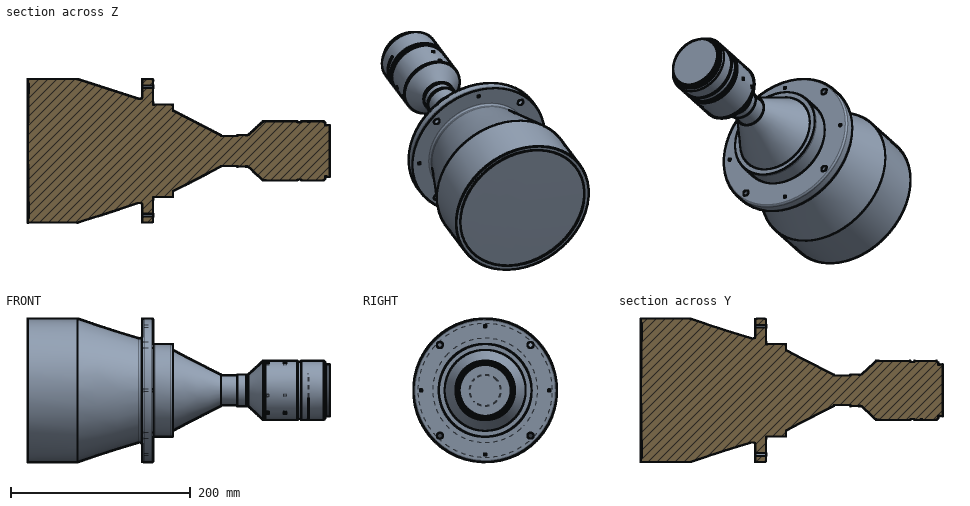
import cadquery as cq
import math

overall_length = 336.5

hood_radius = 80.0
hood_length = 56.0
hood_edge_chamfer = 0.5
window_radius = 74.7
window_recess = 1.5
window_sag = 1.0

collar_start = 123.5
collar_radius = 58.2
collar_fillet = 2.0

flange_start = 127.5
flange_end = 140.0
flange_radius = 80.0
flange_front_bevel_length = 2.5
flange_front_bevel_drop = 0.5
flange_rear_fillet = 2.0
bolt_circle_radius = 71.3
bolt_hole_diameter = 6.7
pin_hole_diameter = 2.7
hole_count = 4

hub_end = 161.8
hub_radius = 51.8
hub_front_bevel_length = 1.7
hub_rear_bevel_length = 2.7
hub_bevel_drop = 0.5

rear_cone_radius = 45.0
neck_start = 215.3
cone_tip_radius = 17.5
neck_radius = 16.8
ring_start = 233.0
ring_radius = 17.8
ring_chamfer = 0.7
neck_groove_start = 243.2
neck_groove_width = 1.0
neck_groove_depth = 0.5
flare_start = 245.5

barrel_start = 262.0
barrel_diameter = 66.3
barrel_radius = barrel_diameter / 2
edge_groove_start = 263.0
edge_groove_width = 1.5
edge_groove_depth = 0.5
split_groove_start = 299.7
split_groove_width = 5.0
split_groove_depth = 1.18
split_groove_chamfer = 0.85
barrel_end = 331.5
barrel_chamfer = 2.2

spigot_diameter = 58.2
spigot_radius = spigot_diameter / 2
undercut_width = 1.0
undercut_depth = 0.7
spigot_chamfer = 0.7

screw_rows = (267.0, 286.3)
screw_hole_diameter = 3.0
screw_hole_depth = 2.7
screw_first_angle = 20.0
screw_count = 3

slit_start = 312.0
slit_width = 1.0
slit_depth = 0.7
slit_first_angle = 106.0
slit_sweep = 198.0


def revolve_about_x(profile):
    return profile.close().revolve(360, (0, 0, 0), (1, 0, 0))


def lens_body():
    """Front glass, hood, flange, cones and barrel as one revolved outline."""
    sphere_radius = (window_radius**2 + window_sag**2) / (2 * window_sag)
    half_window = window_radius / 2
    half_window_sag = sphere_radius - math.sqrt(sphere_radius**2 - half_window**2)
    window_apex = window_recess - window_sag
    fillet_diagonal = 1 - math.sqrt(0.5)
    front_fillet_mid = collar_fillet * fillet_diagonal
    rear_fillet_mid = flange_rear_fillet * fillet_diagonal
    spigot_start = barrel_end + undercut_width

    outline = (
        cq.Workplane("XY")
        .moveTo(window_apex, 0)
        .threePointArc((window_apex + half_window_sag, half_window), (window_recess, window_radius))
        .lineTo(0, window_radius)
        .lineTo(0, hood_radius - hood_edge_chamfer)
        .lineTo(hood_edge_chamfer, hood_radius)
        .lineTo(hood_length, hood_radius)
        .lineTo(collar_start, collar_radius)
        .lineTo(flange_start - collar_fillet, collar_radius)
        .threePointArc(
            (flange_start - front_fillet_mid, collar_radius + front_fillet_mid),
            (flange_start, collar_radius + collar_fillet),
        )
        .lineTo(flange_start, flange_radius - flange_front_bevel_drop)
        .lineTo(flange_start + flange_front_bevel_length, flange_radius)
        .lineTo(flange_end - flange_rear_fillet, flange_radius)
        .threePointArc(
            (flange_end - rear_fillet_mid, flange_radius - rear_fillet_mid),
            (flange_end, flange_radius - flange_rear_fillet),
        )
        .lineTo(flange_end, hub_radius - hub_bevel_drop)
        .lineTo(flange_end + hub_front_bevel_length, hub_radius)
        .lineTo(hub_end - hub_rear_bevel_length, hub_radius)
        .lineTo(hub_end, hub_radius - hub_bevel_drop)
        .lineTo(hub_end, rear_cone_radius)
        .lineTo(neck_start, cone_tip_radius)
        .lineTo(neck_start, neck_radius)
        .lineTo(ring_start, neck_radius)
        .lineTo(ring_start, ring_radius - ring_chamfer)
        .lineTo(ring_start + ring_chamfer, ring_radius)
        .lineTo(flare_start, ring_radius)
        .lineTo(barrel_start, barrel_radius)
        .lineTo(barrel_end - barrel_chamfer, barrel_radius)
        .lineTo(barrel_end, barrel_radius - barrel_chamfer)
        .lineTo(barrel_end, spigot_radius - undercut_depth)
        .lineTo(spigot_start, spigot_radius - undercut_depth)
        .lineTo(spigot_start, spigot_radius)
        .lineTo(overall_length - spigot_chamfer, spigot_radius)
        .lineTo(overall_length, spigot_radius - spigot_chamfer)
        .lineTo(overall_length, 0)
    )
    return revolve_about_x(outline)


def groove(start, width, radius, depth, chamfer=0.0):
    """Ring-shaped cutter for a groove whose mouth may be chamfered."""
    floor_radius = radius - depth
    clear_radius = radius + depth
    end = start + width
    outline = cq.Workplane("XY").moveTo(start, clear_radius).lineTo(start, radius)
    if chamfer:
        outline = (
            outline.lineTo(start + chamfer, radius - chamfer)
            .lineTo(start + chamfer, floor_radius)
            .lineTo(end - chamfer, floor_radius)
            .lineTo(end - chamfer, radius - chamfer)
        )
    else:
        outline = outline.lineTo(start, floor_radius).lineTo(end, floor_radius)
    return revolve_about_x(outline.lineTo(end, radius).lineTo(end, clear_radius))


def flange_holes(diameter, first_angle):
    """Through holes on the flange bolt circle."""
    return (
        cq.Workplane("YZ", origin=(flange_start, 0, 0))
        .polarArray(bolt_circle_radius, first_angle, 360, hole_count)
        .circle(diameter / 2)
        .extrude(flange_end - flange_start)
    )


def screw_hole(position, angle):
    """Blind radial hole in the barrel."""
    return (
        cq.Workplane("XY", origin=(position, 0, barrel_radius - screw_hole_depth))
        .circle(screw_hole_diameter / 2)
        .extrude(2 * screw_hole_depth)
        .rotate((0, 0, 0), (1, 0, 0), angle)
    )


def barrel_slit():
    """Cutter for the partial slit, swept from +Z through -Y."""
    return (
        cq.Workplane("XZ")
        .moveTo(slit_start, barrel_radius - slit_depth)
        .lineTo(slit_start, barrel_radius + slit_depth)
        .lineTo(slit_start + slit_width, barrel_radius + slit_depth)
        .lineTo(slit_start + slit_width, barrel_radius - slit_depth)
        .close()
        .revolve(slit_sweep, (0, 0, 0), (1, 0, 0))
        .rotate((0, 0, 0), (1, 0, 0), slit_first_angle)
    )


result = lens_body()

result = result.cut(groove(neck_groove_start, neck_groove_width, ring_radius, neck_groove_depth))
result = result.cut(groove(edge_groove_start, edge_groove_width, barrel_radius, edge_groove_depth))
result = result.cut(
    groove(split_groove_start, split_groove_width, barrel_radius, split_groove_depth, split_groove_chamfer)
)

result = result.cut(flange_holes(bolt_hole_diameter, 180 / hole_count))
result = result.cut(flange_holes(pin_hole_diameter, 0))

for row in screw_rows:
    for index in range(screw_count):
        result = result.cut(screw_hole(row, screw_first_angle + index * 360 / screw_count))

result = result.cut(barrel_slit())